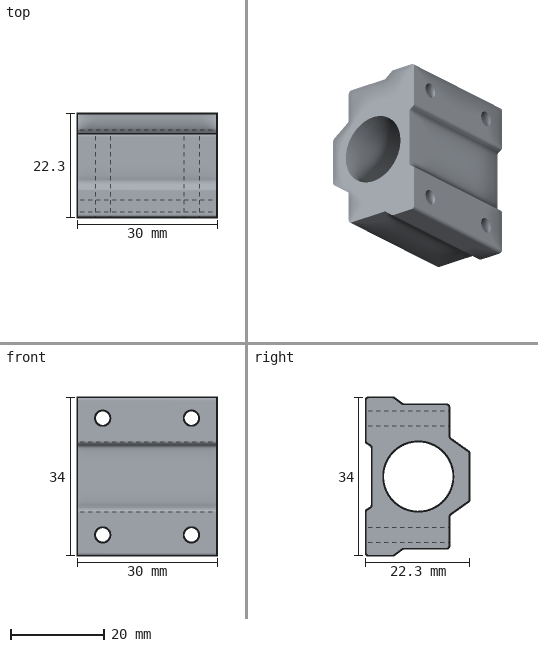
import cadquery as cq
import math

length = 30.0
depth = 22.3
height = 34.0

bore_diameter = 15.0
bore_center_y = 11.3

hole_diameter = 3.24
hole_spacing_x = 19.0
hole_spacing_z = 25.0

channel_depth = 1.3
channel_mouth_width = 14.5
channel_wall_angle = 30.0

flange_thickness = 6.0
shoulder_end_y = 8.0
body_height = 31.0
body_depth = 18.0

ridge_root_width = 16.6
ridge_tip_width = 10.5

corner_radius = 0.7
channel_radius = 0.65


def round_edges(body, points, radius):
    """Fillet the lengthwise edges through the given (Y, Z) points and their mirrors in Z."""
    edges = []
    for y, z in points:
        for side in (1, -1):
            nearest = cq.selectors.NearestToPointSelector((0, y, side * z))
            edges.append(body.edges("|X").edges(nearest).val())
    return cq.Workplane(body.val().fillet(radius, edges))


def make_body():
    """Extrude the profile along X and round its corners."""
    mouth_z = channel_mouth_width / 2
    floor_z = mouth_z - channel_depth * math.tan(math.radians(channel_wall_angle))
    channel_corners = [(channel_depth, floor_z), (0, mouth_z)]
    outer_corners = [
        (0, height / 2),
        (flange_thickness, height / 2),
        (shoulder_end_y, body_height / 2),
        (body_depth, body_height / 2),
        (body_depth, ridge_root_width / 2),
        (depth, ridge_tip_width / 2),
    ]
    upper_half = channel_corners + outer_corners
    lower_half = [(y, -z) for y, z in reversed(upper_half)]
    body = (
        cq.Workplane("YZ")
        .polyline(upper_half + lower_half)
        .close()
        .extrude(length / 2, both=True)
    )
    body = round_edges(body, outer_corners, corner_radius)
    return round_edges(body, channel_corners, channel_radius)


def make_bore():
    """Cylinder for the bearing bore, running the full length."""
    return (
        cq.Workplane("YZ")
        .center(bore_center_y, 0)
        .circle(bore_diameter / 2)
        .extrude(length / 2, both=True)
    )


def make_mounting_holes():
    """Four cylinders running from the mounting face through the back."""
    return (
        cq.Workplane("XZ")
        .rarray(hole_spacing_x, hole_spacing_z, 2, 2)
        .circle(hole_diameter / 2)
        .extrude(-depth)
    )


result = make_body().cut(make_bore()).cut(make_mounting_holes())